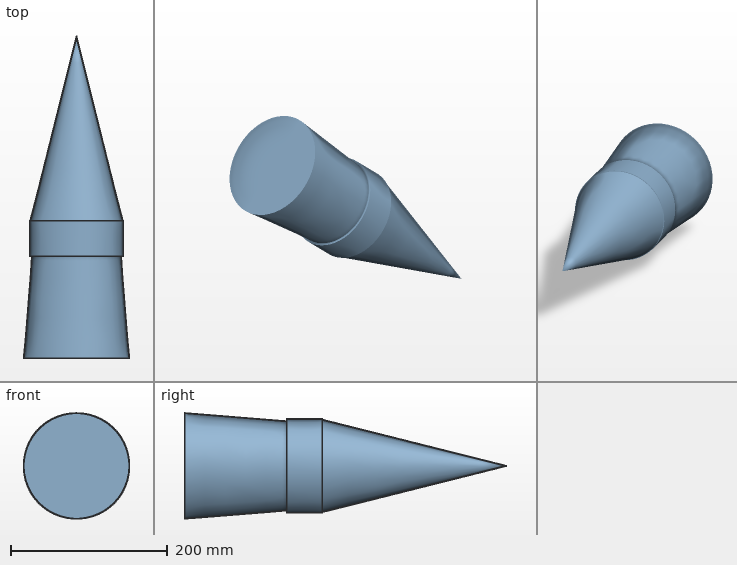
import cadquery as cq

TOTAL_LENGTH = 410.0
TAIL_LENGTH = 130.0
COLLAR_LENGTH = 45.0
NOSE_LENGTH = TOTAL_LENGTH - TAIL_LENGTH - COLLAR_LENGTH

TAIL_END_DIAMETER = 135.0
TAIL_COLLAR_DIAMETER = 114.0
COLLAR_DIAMETER = 119.8
NOSE_BASE_DIAMETER = 118.0

COLLAR_START = TAIL_LENGTH
NOSE_START = COLLAR_START + COLLAR_LENGTH


def cone_along_y(start_y, length, start_diameter, end_diameter):
    """Solid cone or frustum on the Y axis, running toward +Y."""
    return cq.Solid.makeCone(
        start_diameter / 2,
        end_diameter / 2,
        length,
        pnt=cq.Vector(0, start_y, 0),
        dir=cq.Vector(0, 1, 0),
    )


def make_tail():
    """Frustum that narrows from its flat end toward the collar."""
    return cone_along_y(0, TAIL_LENGTH, TAIL_END_DIAMETER, TAIL_COLLAR_DIAMETER)


def make_collar():
    """Plain cylinder between the tail and the nose."""
    return cq.Solid.makeCylinder(
        COLLAR_DIAMETER / 2,
        COLLAR_LENGTH,
        pnt=cq.Vector(0, COLLAR_START, 0),
        dir=cq.Vector(0, 1, 0),
    )


def make_nose():
    """Sharp cone that starts on the collar's front face."""
    return cone_along_y(NOSE_START, NOSE_LENGTH, NOSE_BASE_DIAMETER, 0)


tail = make_tail()
collar = make_collar()
nose = make_nose()

result = cq.Compound.makeCompound([tail, collar, nose])